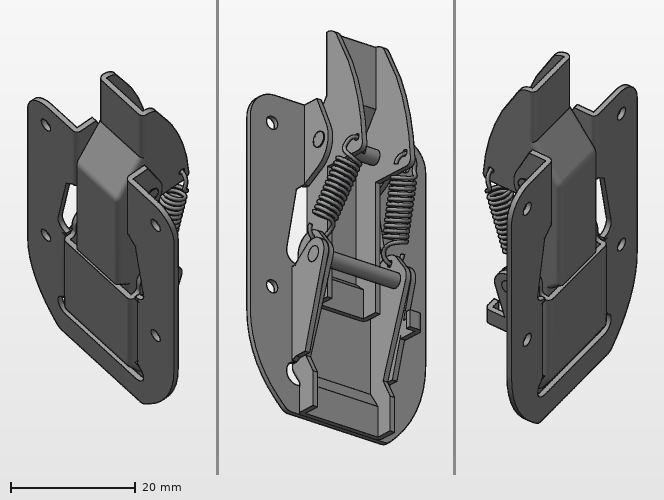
import cadquery as cq
import math


SHEET = 0.95
BEND_RADIUS = 2.0
PIN_RADIUS = 1.35

LENGTH = 67.0

LEVER_PIN_Y, LEVER_PIN_Z = 4.8, 47.6
LINK_PIN_Y, LINK_PIN_Z = 6.4, 26.05

LEVER_HOOK_Y, LEVER_HOOK_Z = 12.6, 45.6
LINK_HOOK_Y, LINK_HOOK_Z = 4.9, 29.6
HOOK_HOLE_RADIUS = 0.57

PLATE_HALF_WIDTH = 17.99
PLATE_TOP = 55.1
TOP_CORNER_RADIUS = 5.0
FOOT_HALF_WIDTH = 10.3
FOOT_CORNER_RADIUS = 2.0
SIDE_CURVE_RADIUS = 20.0

SCREW_X = 13.5
SCREW_Z = (21.1, 50.05)
SCREW_RADIUS = 1.15

UPPER_EAR_X = 5.95
LOWER_EAR_X = 8.475
UPPER_EAR_FOOT_Z = 41.0
LOWER_EAR_FOOT_Z = 9.2
LOWER_EAR_TOP_Z = 25.8
UPPER_EAR_RADIUS = 5.3
UPPER_EAR_CENTRE_Y, UPPER_EAR_CENTRE_Z = 1.8, 47.5
LOWER_EAR_RADIUS = 2.75

WINDOW_BOTTOM = 5.1
RELIEF_RADIUS = 2.0
RELIEF_X = 8.5
LOWER_RELIEF_Z = WINDOW_BOTTOM + RELIEF_RADIUS
UPPER_RELIEF_Z = 28.5
WINDOW_SHOULDER_Z = 39.65

TAB_BOTTOM, TAB_TOP = 16.1, 19.1
TAB_BACK = 11.05
TAB_LENGTH = 2.7

LEVER_HALF_WIDTH = 5.395
LEVER_BOTTOM = 20.1
LEVER_TUCK_TOP = 26.8
LEVER_TUCK_BOTTOM = 25.25
LEVER_TIP_Y = 4.15
LEVER_STEP_TOP = 56.0
LEVER_STEP_BOTTOM = 49.0
LEVER_WALL_BACK = 5.0
LEVER_KNOB_Z = 43.15
PIN_PROUD = 0.2

LINK_HALF_WIDTH = 8.4
LINK_WEB_TOP = 26.0
LINK_STEP_TOP = 8.25
LINK_STEP_BOTTOM = 5.4
LINK_WALL_BACK = 5.0
LINK_KNOB_Y, LINK_KNOB_Z = 4.35, 27.95
LINK_KNOB_RADIUS = 3.2
LINK_NOTCH_RADIUS = 0.8

COIL_RADIUS = 1.84
WIRE_RADIUS = 0.32
COIL_TURNS = 12
HOOK_LEG_END = 2.55
COIL_START = 3.8
POINTS_PER_TURN = 8


def point_on_circle(y, z, radius, degrees):
    """(y, z) at an angle from +Y on a circle about (y, z)."""
    angle = math.radians(degrees)
    return y + radius * math.cos(angle), z + radius * math.sin(angle)


def tangent_point(outside, centre, radius, side):
    """Where a line from an outside point touches a circle; side is +1 or -1."""
    dy, dz = outside[0] - centre[0], outside[1] - centre[1]
    swing = math.acos(radius / math.hypot(dy, dz))
    angle = math.atan2(dz, dy) + side * swing
    return point_on_circle(*centre, radius, math.degrees(angle))


def extrude_between(profile, x_start, x_end):
    """Extrude a closed YZ outline from x_start to x_end."""
    return profile.extrude(x_end - x_start).translate((x_start, 0, 0))


def cross_cylinder(y, z, radius, half_length):
    """Cylinder along X, centred on X = 0."""
    rod = cq.Workplane("YZ").center(y, z).circle(radius)
    return extrude_between(rod, -half_length, half_length)


def mirror_pair(half):
    return half.union(half.mirror("YZ"))


def plate_blank():
    """Flat outline: round top corners, sides curving in to a narrow foot at 45 degrees."""
    half_chord = SIDE_CURVE_RADIUS * math.sqrt(0.5)
    curve_end_x = PLATE_HALF_WIDTH - SIDE_CURVE_RADIUS + half_chord
    curve_end_z = curve_end_x - FOOT_HALF_WIDTH
    curve_start_z = curve_end_z + half_chord
    blank = (
        cq.Workplane("XZ")
        .moveTo(0, 0)
        .lineTo(FOOT_HALF_WIDTH, 0)
        .lineTo(curve_end_x, curve_end_z)
        .tangentArcPoint((PLATE_HALF_WIDTH, curve_start_z), relative=False)
        .lineTo(PLATE_HALF_WIDTH, PLATE_TOP)
        .lineTo(0, PLATE_TOP)
        .close()
        .extrude(-SHEET)
    )
    blank = mirror_pair(blank)
    blank = blank.edges("|Y and >Z").fillet(TOP_CORNER_RADIUS)
    return blank.edges("|Y and <Z").fillet(FOOT_CORNER_RADIUS)


def plate_window():
    """Opening between the ears, with round reliefs beyond the ends of the lower ears."""
    relief = (RELIEF_X, UPPER_RELIEF_Z)
    shoulder = (RELIEF_X, WINDOW_SHOULDER_Z)
    side = tangent_point(shoulder, relief, RELIEF_RADIUS, -1)
    half = (
        cq.Workplane("XZ")
        .moveTo(0, WINDOW_BOTTOM)
        .lineTo(RELIEF_X, WINDOW_BOTTOM)
        .lineTo(LOWER_EAR_X, LOWER_RELIEF_Z)
        .lineTo(LOWER_EAR_X, UPPER_RELIEF_Z)
        .lineTo(*side)
        .lineTo(*shoulder)
        .lineTo(UPPER_EAR_X + SHEET, UPPER_EAR_FOOT_Z)
        .lineTo(UPPER_EAR_X, UPPER_EAR_FOOT_Z)
        .lineTo(UPPER_EAR_X, PLATE_TOP)
        .lineTo(0, PLATE_TOP)
        .close()
        .extrude(-SHEET)
    )
    reliefs = (
        cq.Workplane("XZ")
        .pushPoints([(RELIEF_X, LOWER_RELIEF_Z), (RELIEF_X, UPPER_RELIEF_Z)])
        .circle(RELIEF_RADIUS)
        .extrude(-SHEET)
    )
    return mirror_pair(half.union(reliefs))


def upper_ear():
    """Right-hand ear that carries the lever pin."""
    centre = (UPPER_EAR_CENTRE_Y, UPPER_EAR_CENTRE_Z)
    shoulder = (4.15, PLATE_TOP)
    foot = (SHEET, UPPER_EAR_FOOT_Z)
    profile = (
        cq.Workplane("YZ")
        .moveTo(0, UPPER_EAR_FOOT_Z)
        .lineTo(*foot)
        .lineTo(*tangent_point(foot, centre, UPPER_EAR_RADIUS, 1))
        .threePointArc(
            point_on_circle(*centre, UPPER_EAR_RADIUS, 0),
            tangent_point(shoulder, centre, UPPER_EAR_RADIUS, -1),
        )
        .lineTo(*shoulder)
        .lineTo(0, PLATE_TOP)
        .close()
    )
    ear = extrude_between(profile, UPPER_EAR_X, UPPER_EAR_X + SHEET)
    return ear.edges("<X and <Y").fillet(SHEET - 0.01)


def lower_ear():
    """Right-hand ear that carries the link pin."""
    pin = (LINK_PIN_Y, LINK_PIN_Z)
    foot_corner = (4.3, 9.6)
    root_corner = (1.6, LOWER_EAR_TOP_Z)
    profile = (
        cq.Workplane("YZ")
        .moveTo(0, LOWER_EAR_FOOT_Z)
        .lineTo(SHEET, LOWER_EAR_FOOT_Z)
        .lineTo(1.95, foot_corner[1])
        .lineTo(*foot_corner)
        .lineTo(*tangent_point(foot_corner, pin, LOWER_EAR_RADIUS, 1))
        .threePointArc(
            point_on_circle(*pin, LOWER_EAR_RADIUS, 90),
            tangent_point(root_corner, pin, LOWER_EAR_RADIUS, -1),
        )
        .lineTo(*root_corner)
        .lineTo(0, LOWER_EAR_TOP_Z)
        .close()
    )
    ear = extrude_between(profile, LOWER_EAR_X, LOWER_EAR_X + SHEET)
    return ear.edges("<X and <Y").fillet(SHEET - 0.01)


def stop_tab():
    """Tab on the left lower ear, reaching back and bent inward over the link."""
    outer_x = -LOWER_EAR_X - SHEET
    height = TAB_TOP - TAB_BOTTOM
    arm_length = TAB_BACK - LINK_PIN_Y
    arm = cq.Workplane("XY").box(SHEET, arm_length, height, centered=False)
    arm = arm.translate((outer_x, LINK_PIN_Y, TAB_BOTTOM))
    lip = cq.Workplane("XY").box(TAB_LENGTH, SHEET, height, centered=False)
    lip = lip.translate((outer_x, TAB_BACK - SHEET, TAB_BOTTOM))
    return arm.union(lip).edges("|Z and <X and >Y").fillet(SHEET)


def make_plate():
    plate = plate_blank().cut(plate_window())
    screw_points = [(x, z) for x in (-SCREW_X, SCREW_X) for z in SCREW_Z]
    screws = cq.Workplane("XZ").pushPoints(screw_points).circle(SCREW_RADIUS).extrude(-SHEET)
    plate = plate.cut(screws)
    for ear, inner_x, foot_z, top_z in (
        (upper_ear(), UPPER_EAR_X, UPPER_EAR_FOOT_Z, PLATE_TOP),
        (lower_ear(), LOWER_EAR_X, LOWER_EAR_FOOT_Z, LOWER_EAR_TOP_Z),
    ):
        root = cq.Workplane("XY").box(SHEET, SHEET, top_z - foot_z, centered=False)
        root = root.translate((inner_x, 0, foot_z))
        plate = plate.cut(mirror_pair(root)).union(mirror_pair(ear))
    plate = plate.union(stop_tab())
    for y, z in ((LEVER_PIN_Y, LEVER_PIN_Z), (LINK_PIN_Y, LINK_PIN_Z)):
        plate = plate.cut(cross_cylinder(y, z, PIN_RADIUS, PLATE_HALF_WIDTH))
    return plate


def lever_profile():
    """Side outline of the lever, seen along X."""
    return (
        cq.Workplane("YZ")
        .moveTo(SHEET, LEVER_BOTTOM)
        .lineTo(LEVER_WALL_BACK, LEVER_BOTTOM)
        .lineTo(LEVER_WALL_BACK, LEVER_KNOB_Z)
        .lineTo(13.05, LEVER_KNOB_Z)
        .threePointArc((13.8, 43.5), (14.1, 44.4))
        .threePointArc((12.85, 52.6), (10.4, 59.95))
        .lineTo(7.6, 65.25)
        .threePointArc((6.6, 66.45), (5.3, LENGTH))
        .lineTo(LEVER_TIP_Y, LENGTH)
        .lineTo(LEVER_TIP_Y, LEVER_STEP_TOP)
        .lineTo(-SHEET, LEVER_STEP_BOTTOM)
        .lineTo(-SHEET, LEVER_TUCK_TOP)
        .lineTo(SHEET, LEVER_TUCK_BOTTOM)
        .close()
    )


def channel_cavity(front, back_y, half_width):
    """Room behind a bent web: the front line moved back by the sheet, between the walls."""
    inner = half_width - SHEET
    inside = cq.Workplane("YZ").polyline([(y + SHEET, z) for y, z in front])
    inside = inside.lineTo(back_y, front[-1][1]).lineTo(back_y, front[0][1]).close()
    return extrude_between(inside, -inner, inner)


def round_side_edges(channel, front, half_width):
    """Round both side edges of a bent web along the whole of its front line."""
    edges = []
    for x in (-half_width, half_width):
        for (start_y, start_z), (end_y, end_z) in zip(front, front[1:]):
            middle = (x, (start_y + end_y) / 2, (start_z + end_z) / 2)
            edges.append(channel.edges(cq.selectors.NearestToPointSelector(middle)).val())
    return channel.newObject(edges).fillet(SHEET)


def make_lever():
    lever = extrude_between(lever_profile(), -LEVER_HALF_WIDTH, LEVER_HALF_WIDTH)
    bend = cq.selectors.NearestToPointSelector((0, -SHEET, LEVER_STEP_BOTTOM))
    lever = lever.edges(bend).fillet(BEND_RADIUS)
    front = [
        (SHEET, LEVER_BOTTOM),
        (SHEET, LEVER_TUCK_BOTTOM),
        (-SHEET, LEVER_TUCK_TOP),
        (-SHEET, LEVER_STEP_BOTTOM),
        (LEVER_TIP_Y, LEVER_STEP_TOP),
        (LEVER_TIP_Y, LENGTH),
    ]
    lever = round_side_edges(lever, front, LEVER_HALF_WIDTH)
    lever = lever.cut(channel_cavity(front, LENGTH, LEVER_HALF_WIDTH))
    lever = lever.cut(cross_cylinder(LEVER_HOOK_Y, LEVER_HOOK_Z, HOOK_HOLE_RADIUS, LEVER_HALF_WIDTH))
    pin_half_length = UPPER_EAR_X + SHEET + PIN_PROUD
    return lever.union(cross_cylinder(LEVER_PIN_Y, LEVER_PIN_Z, PIN_RADIUS, pin_half_length))


def link_profile():
    """Side outline of the link: foot lip, step, web, and a wall rising to a round knob."""
    pin = (LINK_PIN_Y, LINK_PIN_Z)
    knob = (LINK_KNOB_Y, LINK_KNOB_Z)
    waist = (3.2, 9.5)
    flank_angle = math.degrees(math.atan2(LINK_KNOB_Z - LINK_PIN_Z, LINK_KNOB_Y - LINK_PIN_Y)) - 90
    knob_front_y = LINK_KNOB_Y - LINK_KNOB_RADIUS
    return (
        cq.Workplane("YZ")
        .moveTo(SHEET, 0)
        .lineTo(LINK_WALL_BACK, 0)
        .lineTo(LINK_WALL_BACK, 6.15)
        .lineTo(*waist)
        .lineTo(*tangent_point(waist, pin, LOWER_EAR_RADIUS, 1))
        .threePointArc(
            point_on_circle(*pin, LOWER_EAR_RADIUS, 0),
            point_on_circle(*pin, LOWER_EAR_RADIUS, flank_angle),
        )
        .lineTo(*point_on_circle(*knob, LINK_KNOB_RADIUS, flank_angle))
        .threePointArc(
            point_on_circle(*knob, LINK_KNOB_RADIUS, 110),
            (knob_front_y, LINK_KNOB_Z),
        )
        .lineTo(knob_front_y, LINK_WEB_TOP + LINK_NOTCH_RADIUS)
        .tangentArcPoint((knob_front_y - LINK_NOTCH_RADIUS, LINK_WEB_TOP), relative=False)
        .lineTo(-SHEET, LINK_WEB_TOP)
        .lineTo(-SHEET, LINK_STEP_TOP)
        .lineTo(SHEET, LINK_STEP_BOTTOM)
        .close()
    )


def make_link():
    link = extrude_between(link_profile(), -LINK_HALF_WIDTH, LINK_HALF_WIDTH)
    bend = cq.selectors.NearestToPointSelector((0, -SHEET, LINK_STEP_TOP))
    link = link.edges(bend).fillet(BEND_RADIUS)
    front = [
        (SHEET, 0),
        (SHEET, LINK_STEP_BOTTOM),
        (-SHEET, LINK_STEP_TOP),
        (-SHEET, LINK_WEB_TOP),
    ]
    link = round_side_edges(link, front, LINK_HALF_WIDTH)
    front[-1] = (-SHEET, LENGTH)
    link = link.cut(channel_cavity(front, LENGTH, LINK_HALF_WIDTH))
    link = link.cut(cross_cylinder(LINK_HOOK_Y, LINK_HOOK_Z, HOOK_HOLE_RADIUS, LINK_HALF_WIDTH))
    pin_half_length = LOWER_EAR_X + SHEET
    return link.union(cross_cylinder(LINK_PIN_Y, LINK_PIN_Z, PIN_RADIUS, pin_half_length))


def spring_axis_points(length):
    """Wire centre line as (across, behind, along): hook, lead-in, coils, lead-out, hook.

    The hooks are half circles in the across-along plane, with their tips at 0 and length."""
    points = []
    hook_steps = POINTS_PER_TURN // 2
    for step in range(hook_steps + 1):
        angle = math.pi * step / hook_steps
        points.append((COIL_RADIUS * math.cos(angle), 0, COIL_RADIUS * (1 - math.sin(angle))))
    quarter_steps = POINTS_PER_TURN // 4
    half_turns = COIL_TURNS * POINTS_PER_TURN // 2
    pitch = (length - 2 * COIL_START) / COIL_TURNS
    for step in range(quarter_steps + half_turns):
        angle = 2 * math.pi * step / POINTS_PER_TURN
        if step < quarter_steps:
            along = HOOK_LEG_END + (COIL_START - HOOK_LEG_END) * math.sin(angle)
        else:
            along = COIL_START + pitch * (step - quarter_steps) / POINTS_PER_TURN
        points.append((-COIL_RADIUS * math.cos(angle), -COIL_RADIUS * math.sin(angle), along))
    middle = (0, -COIL_RADIUS, length / 2)
    other_end = [(-across, behind, length - along) for across, behind, along in reversed(points)]
    return points + [middle] + other_end


def make_spring():
    """Left-hand spring from the lever's wall to the link's wall."""
    top = cq.Vector(-LEVER_HALF_WIDTH + SHEET / 2, LEVER_HOOK_Y, LEVER_HOOK_Z)
    bottom = cq.Vector(-LINK_HALF_WIDTH + SHEET / 2, LINK_HOOK_Y, LINK_HOOK_Z)
    span = bottom - top
    frame = cq.Plane(origin=top, xDir=cq.Vector(1, 0, 0) - span * (span.x / span.dot(span)), normal=span)
    centre_line = [frame.toWorldCoords(p) for p in spring_axis_points(span.Length)]
    path = cq.Workplane("XY").spline(centre_line)
    start_plane = cq.Plane(origin=centre_line[0], normal=path.val().tangentAt(0))
    return cq.Workplane(start_plane).circle(WIRE_RADIUS).sweep(path)


plate = make_plate()
lever = make_lever()
link = make_link()
left_spring = make_spring()
springs = [left_spring, left_spring.mirror("YZ")]
bodies = [plate, lever, link, *springs]

result = cq.Compound.makeCompound([body.solids().val() for body in bodies])